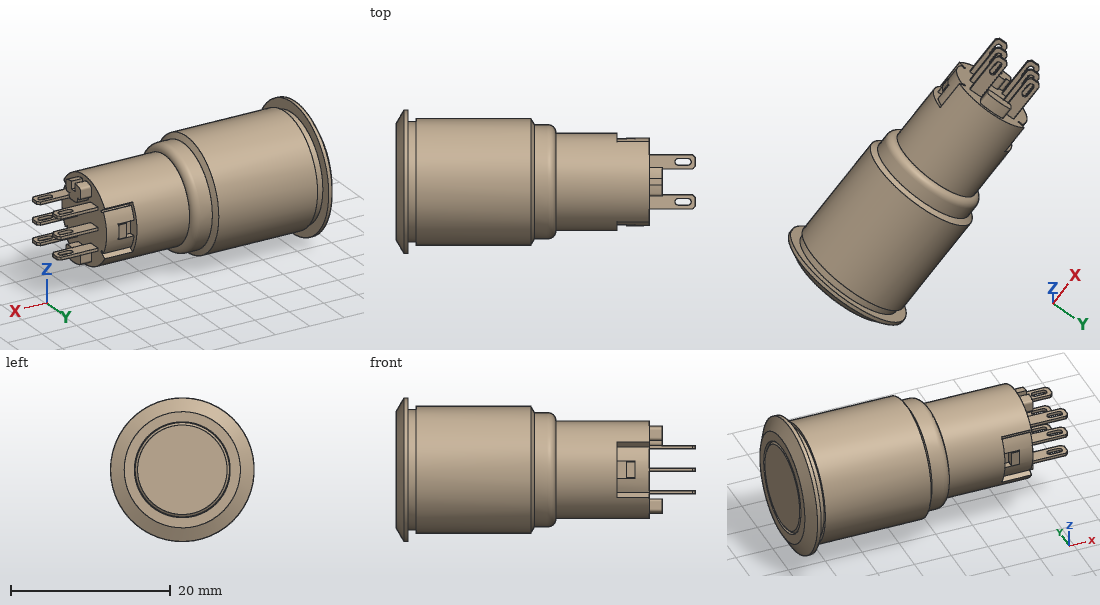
import cadquery as cq
import math


BEZEL_DIAMETER = 18.0
BEZEL_CHAMFER_LENGTH = 1.0
BEZEL_THICKNESS = 1.5
GROOVE_DIAMETER = 15.1
GROOVE_END = 2.5
SLEEVE_DIAMETER = 15.9
SLEEVE_END = 16.85
COLLAR_DIAMETER = 14.3
COLLAR_END = 20.0
COLLAR_FILLET = 1.0
TAPER_ANGLE = 60.0

BORE_DIAMETER = 12.0
BUTTON_DIAMETER = 11.8
BUTTON_CHAMFER = 0.3
BUTTON_LENGTH = 3.0

BASE_DIAMETER = 12.2
BASE_END = 31.7

NOTCH_START = 27.65
NOTCH_FLOOR_DIAMETER = 10.0
NOTCH_HALF_ANGLE = 34.4
PAD_DIAMETER = 11.0
PAD_HALF_ANGLE = 31.5

WINDOW_LENGTH = 2.25
WINDOW_WIDTH = 2.15
WINDOW_DEPTH = 1.0
LATCH_OFFSET = 1.15
LATCH_CLEARANCE = 0.1

KEY_LENGTH = 1.6
KEY_WIDTH = 3.55
KEY_INNER_Z = 3.65
KEY_OUTER_DIAMETER = 11.0
KEY_FILLET = 0.35
KEY_SLOT_WIDTH = 0.8
KEY_SLOT_FLOOR_Z = 4.4
STEM_WIDTH = 2.0
STEM_BOTTOM_Z = 2.95
STEM_FILLET = 0.35

TERMINAL_END = 37.45
TERMINAL_WIDTH = 1.8
TERMINAL_THICKNESS = 0.4
TERMINAL_CHAMFER = 0.37
TERMINAL_Y = 2.5
TERMINAL_PITCH_Z = 2.82
EYELET_LENGTH = 2.0
EYELET_WIDTH = 0.8
EYELET_TIP_MARGIN = 0.55


def box_between(x_range, y_range, z_range):
    """Axis-aligned box given by its limits along each axis."""
    (x0, x1), (y0, y1), (z0, z1) = x_range, y_range, z_range
    return cq.Workplane("XY").box(x1 - x0, y1 - y0, z1 - z0, centered=False).translate((x0, y0, z0))


def rod(diameter, start, end):
    """Cylinder along X between two X positions."""
    return cq.Workplane("YZ", origin=(start, 0, 0)).circle(diameter / 2).extrude(end - start)


def turned_body():
    """Bezel, groove, sleeve, collar and base revolved about X."""
    slope = math.tan(math.radians(TAPER_ANGLE))
    bezel_radius = BEZEL_DIAMETER / 2
    groove_radius = GROOVE_DIAMETER / 2
    sleeve_radius = SLEEVE_DIAMETER / 2
    collar_radius = COLLAR_DIAMETER / 2
    base_radius = BASE_DIAMETER / 2
    taper_end = SLEEVE_END + (sleeve_radius - collar_radius) / slope
    fillet_start = COLLAR_END - COLLAR_FILLET
    return (
        cq.Workplane("XY")
        .lineTo(0, bezel_radius - BEZEL_CHAMFER_LENGTH * slope)
        .lineTo(BEZEL_CHAMFER_LENGTH, bezel_radius)
        .lineTo(BEZEL_THICKNESS, bezel_radius)
        .lineTo(BEZEL_THICKNESS, groove_radius)
        .lineTo(GROOVE_END, groove_radius)
        .lineTo(GROOVE_END, sleeve_radius)
        .lineTo(SLEEVE_END, sleeve_radius)
        .lineTo(taper_end, collar_radius)
        .lineTo(fillet_start, collar_radius)
        .radiusArc((COLLAR_END, collar_radius - COLLAR_FILLET), COLLAR_FILLET)
        .lineTo(COLLAR_END, base_radius)
        .lineTo(BASE_END, base_radius)
        .lineTo(BASE_END, 0)
        .close()
        .revolve(360, (0, 0, 0), (1, 0, 0))
    )


def sector(radius, half_angle):
    """Pie-shaped prism centred on -Y, as long as the notches."""
    angle = math.radians(half_angle)
    edge_y = -radius * math.cos(angle)
    edge_z = radius * math.sin(angle)
    return (
        cq.Workplane("YZ", origin=(NOTCH_START, 0, 0))
        .lineTo(edge_y, -edge_z)
        .threePointArc((-radius, 0), (edge_y, edge_z))
        .close()
        .extrude(BASE_END - NOTCH_START)
    )


def side_notch():
    """Cutter for the -Y notch: radial walls, a round floor and the pad left standing on it."""
    floor = rod(NOTCH_FLOOR_DIAMETER, NOTCH_START, BASE_END)
    pad = sector(PAD_DIAMETER / 2, PAD_HALF_ANGLE)
    return sector(BASE_DIAMETER, NOTCH_HALF_ANGLE).cut(floor).cut(pad)


def pad_box(start, end, width):
    """Box between two X positions, from the crest of the -Y pad down to the window floor."""
    crest_y = -PAD_DIAMETER / 2
    return box_between((start, end), (crest_y, crest_y + WINDOW_DEPTH), (-width / 2, width / 2))


def latch_window():
    """Cutter for the window in the -Y pad."""
    return pad_box(NOTCH_START, NOTCH_START + WINDOW_LENGTH, WINDOW_WIDTH)


def latch():
    """Flat-topped latch block at the rear end of the -Y window."""
    latch_width = WINDOW_WIDTH - 2 * LATCH_CLEARANCE
    return pad_box(NOTCH_START + LATCH_OFFSET, NOTCH_START + WINDOW_LENGTH, latch_width)


def key():
    """Key on the upper side of the rear face: rounded corners and a cylindrical outer face."""
    half_width = KEY_WIDTH / 2
    key_end = BASE_END + KEY_LENGTH
    outer_radius = KEY_OUTER_DIAMETER / 2
    block = box_between((BASE_END, key_end), (-half_width, half_width), (KEY_INNER_Z, outer_radius))
    return block.intersect(rod(KEY_OUTER_DIAMETER, BASE_END, key_end)).edges("|X").fillet(KEY_FILLET)


def key_slot():
    """Cutter for the slot in the outer face of the upper key."""
    half_width = KEY_SLOT_WIDTH / 2
    return box_between(
        (BASE_END, BASE_END + KEY_LENGTH),
        (-half_width, half_width),
        (KEY_SLOT_FLOOR_Z, KEY_OUTER_DIAMETER / 2),
    )


def key_stem():
    """Narrower rounded stem under the upper key."""
    half_width = STEM_WIDTH / 2
    stem = box_between(
        (BASE_END, BASE_END + KEY_LENGTH),
        (-half_width, half_width),
        (STEM_BOTTOM_Z, KEY_INNER_Z),
    )
    return stem.edges("|X and <Z").fillet(STEM_FILLET)


def terminal(y, z):
    """Flat solder terminal with chamfered tip corners and an oblong eyelet."""
    length = TERMINAL_END - BASE_END
    eyelet_center_x = TERMINAL_END - EYELET_TIP_MARGIN - EYELET_LENGTH / 2
    blade = (
        cq.Workplane("XY")
        .box(length, TERMINAL_WIDTH, TERMINAL_THICKNESS, centered=(False, True, True))
        .translate((BASE_END, 0, 0))
        .edges("|Z and >X")
        .chamfer(TERMINAL_CHAMFER)
    )
    eyelet = (
        cq.Workplane("XY", origin=(eyelet_center_x, 0, -TERMINAL_THICKNESS))
        .slot2D(EYELET_LENGTH, EYELET_WIDTH)
        .extrude(2 * TERMINAL_THICKNESS)
    )
    return blade.cut(eyelet).translate((0, y, z))


def make_housing():
    """Bezel, sleeve, base, keys and terminals as one solid with a blind bore for the button."""
    housing = turned_body().cut(rod(BORE_DIAMETER, 0, BUTTON_LENGTH))
    for angle in (0, 180):
        for cutter in (side_notch(), latch_window()):
            housing = housing.cut(cutter.rotate((0, 0, 0), (1, 0, 0), angle))
        housing = housing.union(latch().rotate((0, 0, 0), (1, 0, 0), angle))
    upper_key = key().cut(key_slot()).union(key_stem())
    lower_key = key().mirror("XY")
    housing = housing.union(upper_key).union(lower_key)
    for y in (-TERMINAL_Y, TERMINAL_Y):
        for row in (-1, 0, 1):
            housing = housing.union(terminal(y, row * TERMINAL_PITCH_Z))
    return housing


def make_button():
    """Button disc, flush with the front face and seated on the floor of the bore."""
    return rod(BUTTON_DIAMETER, 0, BUTTON_LENGTH).faces("<X").edges().chamfer(BUTTON_CHAMFER)


housing = make_housing()
button = make_button()
result = cq.Compound.makeCompound([housing.val(), button.val()])